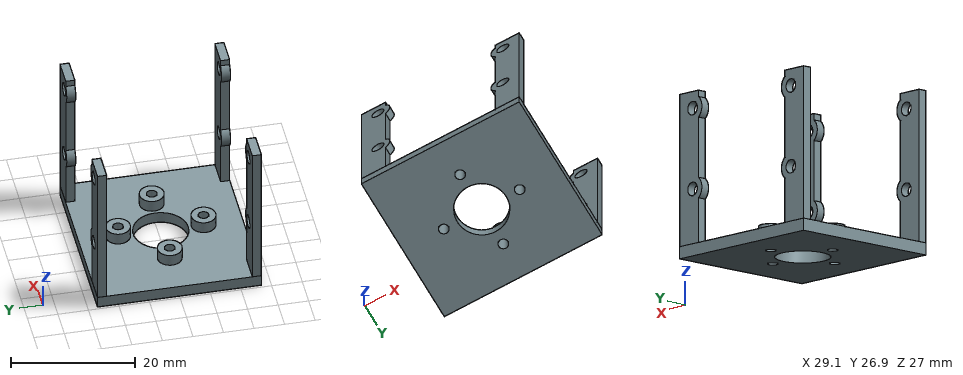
import cadquery as cq

PLATE_LENGTH = 29.11
PLATE_WIDTH = 26.88
PLATE_THICKNESS = 2.0
CENTRE_HOLE_DIAMETER = 9.0

BOSS_COUNT = 4
BOSS_CIRCLE_RADIUS = 7.0
BOSS_DIAMETER = 4.0
BOSS_HEIGHT = 2.0
BOSS_HOLE_DIAMETER = 1.7

TOTAL_HEIGHT = 27.0
POST_WIDTH = 4.45
POST_THICKNESS = 1.5
POST_INSET_X = 0.005
POST_INSET_Y = 0.02

SCREW_HOLE_DIAMETER = 2.2
SCREW_HOLE_INSET = 3.04
LUG_DIAMETER = 4.4
UPPER_SCREW_HEIGHT = 24.25
SCREW_SPACING = 13.25
SCREW_HEIGHTS = (UPPER_SCREW_HEIGHT - SCREW_SPACING, UPPER_SCREW_HEIGHT)


def make_plate():
    """Rectangular plate centred in X and Y, standing on Z = 0."""
    return cq.Workplane("XY").box(
        PLATE_LENGTH, PLATE_WIDTH, PLATE_THICKNESS, centered=(True, True, False)
    )


def boss_axes():
    """Workplane at the plate underside with a point on every boss axis."""
    return cq.Workplane("XY").polarArray(BOSS_CIRCLE_RADIUS, 0, 360, BOSS_COUNT)


def make_bosses():
    """Boss cylinders, rooted at the plate underside so that they merge with it."""
    return boss_axes().circle(BOSS_DIAMETER / 2).extrude(PLATE_THICKNESS + BOSS_HEIGHT)


def make_base_holes():
    """Cutters for the centre hole and the boss holes, through plate and bosses."""
    depth = PLATE_THICKNESS + BOSS_HEIGHT
    centre_hole = cq.Workplane("XY").circle(CENTRE_HOLE_DIAMETER / 2).extrude(depth)
    boss_holes = boss_axes().circle(BOSS_HOLE_DIAMETER / 2).extrude(depth)
    return centre_hole.union(boss_holes)


def make_post():
    """Post with lugs and screw holes at the -X, -Y corner."""
    left = -PLATE_LENGTH / 2 + POST_INSET_X
    front = -PLATE_WIDTH / 2 + POST_INSET_Y
    post = cq.Workplane("XY", origin=(left, front, PLATE_THICKNESS)).box(
        POST_WIDTH, POST_THICKNESS, TOTAL_HEIGHT - PLATE_THICKNESS, centered=False
    )
    screw_points = [(left + SCREW_HOLE_INSET, height) for height in SCREW_HEIGHTS]
    screw_axes = cq.Workplane("XZ", origin=(0, front, 0)).pushPoints(screw_points)
    lugs = screw_axes.circle(LUG_DIAMETER / 2).extrude(-POST_THICKNESS)
    holes = screw_axes.circle(SCREW_HOLE_DIAMETER / 2).extrude(-POST_THICKNESS)
    return post.union(lugs).cut(holes)


def make_posts():
    """All four posts, mirrored from one corner into the others."""
    front_left = make_post()
    front_pair = front_left.union(front_left.mirror("YZ"))
    return front_pair.union(front_pair.mirror("XZ"))


result = make_plate().union(make_bosses()).cut(make_base_holes()).union(make_posts())